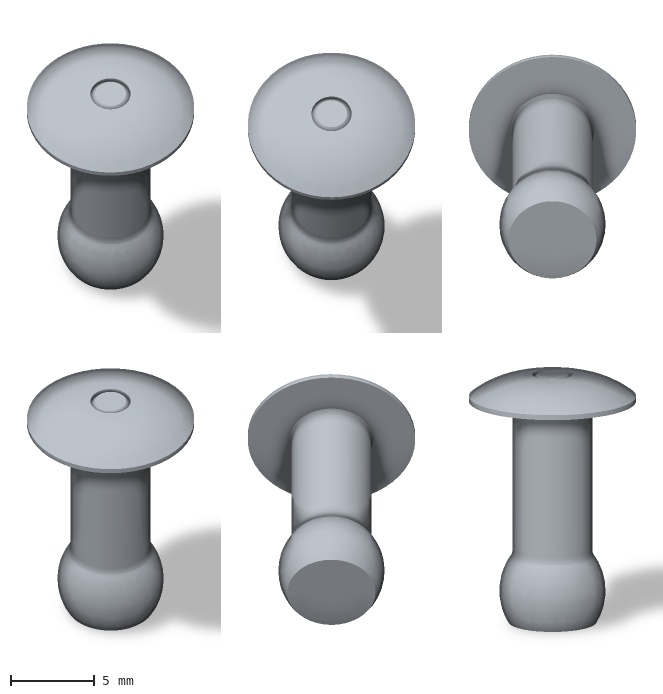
import cadquery as cq
import math

total_height = 15.19
head_diameter = 10.01
head_height = 1.63
rim_height = 0.3

shank_radius = 2.38
flare_width = 0.12
flare_height = 0.25

foot_radius = 2.63
bulb_radius = 3.17
bulb_height = 1.9
neck_radius = 2.48
neck_height = 4.07
neck_blend_height = 0.38

bore_radius = 1.2
pin_top_radius = 0.93
pin_chamfer_height = 0.27

head_radius = head_diameter / 2
head_bottom = total_height - head_height
rim_top = head_bottom + rim_height
pin_top = total_height
flare_radius = shank_radius + flare_width
shank_bottom = neck_height + neck_blend_height
shank_top = head_bottom - flare_height

dome_width = head_radius - bore_radius
dome_height = total_height - rim_top
dome_curve = (dome_width**2 + dome_height**2) / (2 * dome_height)
dome_half_angle = math.asin(dome_width / dome_curve) / 2
dome_middle = (
    bore_radius + dome_curve * math.sin(dome_half_angle),
    total_height - dome_curve * (1 - math.cos(dome_half_angle)),
)


def blend_middle(end_radius, end_height, tangent_height):
    """Point on a shallow arc that leaves the shank smoothly at tangent_height."""
    return (
        shank_radius + (end_radius - shank_radius) / 4,
        (end_height + tangent_height) / 2,
    )


def rivet_profile():
    """Half section of the foot, shank, domed head and pin, closed along the axis."""
    return (
        cq.Workplane("XZ")
        .lineTo(foot_radius, 0)
        .threePointArc((bulb_radius, bulb_height), (neck_radius, neck_height))
        .threePointArc(
            blend_middle(neck_radius, neck_height, shank_bottom),
            (shank_radius, shank_bottom),
        )
        .lineTo(shank_radius, shank_top)
        .threePointArc(
            blend_middle(flare_radius, head_bottom, shank_top),
            (flare_radius, head_bottom),
        )
        .lineTo(head_radius, head_bottom)
        .lineTo(head_radius, rim_top)
        .threePointArc(dome_middle, (bore_radius, total_height))
        .lineTo(bore_radius, pin_top - pin_chamfer_height)
        .lineTo(pin_top_radius, pin_top)
        .lineTo(0, pin_top)
        .close()
    )


result = rivet_profile().revolve(360, (0, 0, 0), (0, 1, 0))